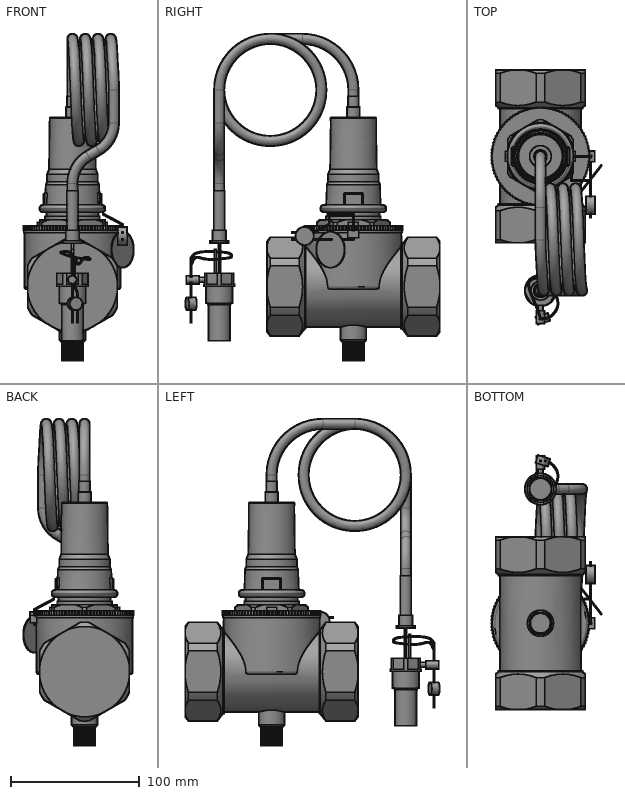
import cadquery as cq
import math


PIPE_RADIUS = 31.5
COLLAR_RADIUS = 32.9
COLLAR_START = 37.0
HEX_START = 38.0
HEX_END = 67.2
HEX_FLATS = 69.8
HEX_CORNER_RADIUS = 38.5
END_FACE_RADIUS = 35.1
OUTER_CHAMFER = 2.5
INNER_CHAMFER = 4.3
CHAMBER_RADIUS = 37.5
CHAMBER_BOTTOM = -2.0
CHAMBER_BOTTOM_FILLET = 1.8
NECK_RING_RADIUS = 38.0
NECK_RING_BOTTOM = 41.8
FLANGE_RADIUS = 38.5
FLANGE_BOTTOM = 43.8
FLANGE_TOP = 47.5
FLANGE_TEETH = 90
FLANGE_TOOTH_DEPTH = 1.0
BOSS_RADIUS = 10.2
BOSS_BOTTOM = -43.0
BOSS_CHAMFER = 1.5
CAP_RADIUS = 8.5
CAP_BOTTOM = -57.8
CAP_TEETH = 40
CAP_TOOTH_DEPTH = 0.8
LUG_REACH = 42.3
LUG_WIDTH = 8.7
LUG_BOTTOM = 38.0
WALL_OVERLAP = 2.5
WIRE_HOLE_RADIUS = 0.8

NUT_FLATS = 51.2
NUT_CORNER_RADIUS = 28.5
NUT_TOP = 52.0
NUT_CHAMFER = 2.0
NUT_TAB_REACH = 27.3
NUT_TAB_WIDTH = 7.6
NUT_TAB_HEIGHT = 2.8
NECK_RADIUS = 21.5
NECK_GROOVE_RADIUS = 20.5
RIM_RADIUS = 25.7
RIM_BOTTOM = 57.8
RIM_TOP = 63.7
RIM_FILLET = 2.8
BARREL_RADIUS = 21.5
BARREL_TOP_RADIUS = 21.0
BARREL_TOP = 79.2
GROOVE_TOP = 81.5
SHOULDER_RADIUS = 19.9
SHOULDER_TOP = 87.4
SPINDLE_BASE_RADIUS = 18.3
SPINDLE_BASE = 91.2
SPINDLE_RADIUS = 17.8
SPINDLE_TOP = 132.0
SPINDLE_CHAMFER = 0.8
PAD_REACH = 22.7
PAD_WIDTH = 15.3
PAD_TOP = 73.0
PAD_FILLET = 1.5
PAD_CHAMFER = 1.3
RECESS_RADIUS = 8.5
RECESS_DEPTH = 3.8
FITTING_RADIUS = 5.0
FITTING_TOP = 140.0
FITTING_CHAMFER = 0.5
SLEEVE_RADIUS = 4.3
UPPER_SLEEVE_TOP = 148.0

TUBE_RADIUS = 4.0
COIL_RADIUS = 39.7
COIL_PITCH = 10.0
COIL_TURNS = 3.25
COIL_POINTS_PER_TURN = 12
COIL_Y = -64.7
COIL_Z = 153.0
JOG_TOP = 127.5
JOG_RADIUS = 24.7
JOG_ANGLE = 60.0
LOWER_SLEEVE_TOP = 74.5
FERRULE_RADIUS = 5.3
FERRULE_TOP = 44.0
WASHER_RADIUS = 7.5
WASHER_TOP = 35.7
WASHER_BOTTOM = 34.0
ROD_RADIUS = 0.9
ROD_Y_OFFSET = 0.3

POCKET_Y = COIL_Y - COIL_RADIUS
HEAD_FLATS = 22.7
HEAD_CORNER_RADIUS = 12.2
HEAD_TOP = 10.5
HEAD_BOTTOM = 2.0
HEAD_FLANGE_BOTTOM = 0.3
SOCKET_RADIUS = 10.5
SOCKET_BOTTOM = -12.7
SOCKET_STEP_RADIUS = 9.0
SOCKET_STEP_BOTTOM = -14.3
STEM_RADIUS = 8.5
STEM_BOTTOM = -42.3
STUB_ROD_Y = POCKET_Y - 3.0
STUB_ROD_TOP = 29.0
SCREW_Z = 5.3
SCREW_SHANK_RADIUS = 2.0
SCREW_HEAD_RADIUS = 3.3
SCREW_HEAD_START = -120.0
SCREW_HEAD_END = -130.2
SCREW_HOLE_WIDTH = 1.8
SCREW_HOLE_LENGTH = 3.3

WIRE_RADIUS = 0.5
HEAD_WIRE_X = 39.0
HEAD_SEAL_RADIUS = 7.1
HEAD_SEAL_THICKNESS = 7.1
HEAD_SEAL_Y = -38.0
HEAD_SEAL_Z = 39.5
HEAD_WIRE_SPACING = 5.3
HEAD_WIRE_TAIL_Y = -48.0
LOOP_INNER_X = 24.2
LOOP_INNER_Z = 56.3
LOOP_OUTER_Z = 48.5
LOOP_Y = -18.8
TAG_RADIUS = 14.0
TAG_THICKNESS = 0.8
TAG_Y = -17.8
TAG_Z = 28.8
TAG_ANGLE = 52.0

POCKET_SEAL_RADIUS = 5.0
POCKET_SEAL_THICKNESS = 6.4
POCKET_SEAL_Z = -13.2
POCKET_SEAL_TURN = 17.5
POCKET_WIRE_Y = -126.3
POCKET_TAIL_SPACING = 3.8
POCKET_TAIL_BOTTOM = -28.3
THREADED_SPACING = 1.5


def cylinder(radius, bottom, top, x=0, y=0):
    """Upright cylinder between two heights."""
    return cq.Workplane("XY", origin=(x, y, bottom)).circle(radius).extrude(top - bottom)


def turned(profile):
    """Solid of revolution about Z from (radius, height) points."""
    outline = [(0, profile[0][1]), *profile, (0, profile[-1][1])]
    return cq.Workplane("XZ").polyline(outline).close().revolve(360, (0, 0), (0, 1))


def hexagon_size(flats):
    """Corner-to-corner size of a hexagon with the given width across flats."""
    return flats / math.cos(math.pi / 6)


def toothed_disc(radius, depth, teeth, bottom, top):
    """Upright disc whose rim is cut into pointed teeth."""
    points = []
    for i in range(2 * teeth):
        reach = radius - depth * (i % 2)
        angle = math.pi * i / teeth
        points.append((reach * math.cos(angle), reach * math.sin(angle)))
    return cq.Workplane("XY", origin=(0, 0, bottom)).polyline(points).close().extrude(top - bottom)


def rod_along(edges, radius, transition="right"):
    """Round rod swept along connected edges."""
    path = cq.Wire.assembleEdges(edges)
    start = cq.Plane(origin=edges[0].startPoint(), normal=edges[0].tangentAt(0))
    return cq.Workplane(start).circle(radius).sweep(cq.Workplane(path), transition=transition)


def line(start, end):
    return cq.Edge.makeLine(cq.Vector(*start), cq.Vector(*end))


def curve(points, start_direction, end_direction):
    directions = [cq.Vector(*start_direction), cq.Vector(*end_direction)]
    return cq.Edge.makeSpline([cq.Vector(*p) for p in points], tangents=directions)


def pipe_end():
    """Hexagon at the +Y end of the pipe, with turned-down corners and a collar."""
    length = HEX_END - HEX_START
    prism = (
        cq.Workplane("XZ", origin=(0, HEX_END, 0))
        .polygon(6, hexagon_size(HEX_FLATS))
        .extrude(length)
        .rotate((0, 0, 0), (0, 1, 0), 30)
    )
    envelope = turned(
        [
            (COLLAR_RADIUS, HEX_START),
            (HEX_CORNER_RADIUS, HEX_START + INNER_CHAMFER),
            (HEX_CORNER_RADIUS, HEX_END - OUTER_CHAMFER),
            (END_FACE_RADIUS, HEX_END),
        ]
    ).rotate((0, 0, 0), (1, 0, 0), -90)
    collar = cq.Workplane("XZ", origin=(0, HEX_START, 0)).circle(COLLAR_RADIUS)
    return prism.intersect(envelope).union(collar.extrude(HEX_START - COLLAR_START))


def seal_lug():
    """Drilled lug that holds the wire of the head seal."""
    inside_wall = CHAMBER_RADIUS - WALL_OVERLAP
    return (
        cq.Workplane("XY", origin=(inside_wall, 0, LUG_BOTTOM))
        .rect(2 * (LUG_REACH - inside_wall), LUG_WIDTH)
        .extrude(FLANGE_BOTTOM - LUG_BOTTOM)
    )


def make_housing():
    pipe = cq.Workplane("XZ", origin=(0, HEX_START, 0)).circle(PIPE_RADIUS).extrude(2 * HEX_START)
    chamber = cylinder(CHAMBER_RADIUS, CHAMBER_BOTTOM, FLANGE_BOTTOM)
    chamber = chamber.faces("<Z").edges().fillet(CHAMBER_BOTTOM_FILLET)
    boss = cylinder(BOSS_RADIUS, BOSS_BOTTOM, 0).faces("<Z").edges().chamfer(BOSS_CHAMFER)
    end = pipe_end()
    housing = pipe.union(chamber).union(boss).union(end).union(end.mirror("XZ"))
    housing = housing.union(cylinder(NECK_RING_RADIUS, NECK_RING_BOTTOM, FLANGE_BOTTOM))
    housing = housing.union(seal_lug())
    housing = housing.union(
        toothed_disc(FLANGE_RADIUS, FLANGE_TOOTH_DEPTH, FLANGE_TEETH, FLANGE_BOTTOM, FLANGE_TOP)
    )
    housing = housing.union(
        toothed_disc(CAP_RADIUS, CAP_TOOTH_DEPTH, CAP_TEETH, CAP_BOTTOM, BOSS_BOTTOM)
    )
    return housing.cut(cylinder(WIRE_HOLE_RADIUS, LUG_BOTTOM, FLANGE_TOP, x=HEAD_WIRE_X))


def mounting_nut():
    """Hexagon nut with corners along Y and a small tab on each X flat."""
    height = NUT_TOP - FLANGE_TOP
    envelope = cylinder(NUT_CORNER_RADIUS, FLANGE_TOP, NUT_TOP)
    envelope = envelope.faces(">Z").edges().chamfer(NUT_CHAMFER)
    nut = (
        cq.Workplane("XY", origin=(0, 0, FLANGE_TOP))
        .polygon(6, hexagon_size(NUT_FLATS))
        .extrude(height)
        .rotate((0, 0, 0), (0, 0, 1), 30)
        .intersect(envelope)
    )
    tabs = (
        cq.Workplane("XY", origin=(0, 0, FLANGE_TOP))
        .rect(2 * NUT_TAB_REACH, NUT_TAB_WIDTH)
        .extrude(NUT_TAB_HEIGHT)
    )
    return nut.union(tabs)


def thermostat_head():
    mid_neck = (NUT_TOP + RIM_BOTTOM) / 2
    head = turned(
        [
            (NECK_RADIUS, NUT_TOP),
            (NECK_RADIUS, mid_neck),
            (NECK_GROOVE_RADIUS, mid_neck),
            (NECK_GROOVE_RADIUS, RIM_BOTTOM),
            (BARREL_RADIUS, RIM_TOP),
            (BARREL_TOP_RADIUS, BARREL_TOP),
            (SHOULDER_RADIUS, GROOVE_TOP),
            (SHOULDER_RADIUS, SHOULDER_TOP),
            (SPINDLE_BASE_RADIUS, SPINDLE_BASE),
            (SPINDLE_RADIUS, SPINDLE_TOP),
        ]
    )
    head = head.faces(">Z").edges().chamfer(SPINDLE_CHAMFER)
    rim = cylinder(RIM_RADIUS, RIM_BOTTOM, RIM_TOP).edges().fillet(RIM_FILLET)
    pads = (
        cq.Workplane("YZ", origin=(-PAD_REACH, 0, 0))
        .center(0, (RIM_BOTTOM + PAD_TOP) / 2)
        .rect(PAD_WIDTH, PAD_TOP - RIM_BOTTOM)
        .extrude(2 * PAD_REACH)
        .edges("|X and >Z")
        .fillet(PAD_FILLET)
        .faces("<X or >X")
        .chamfer(PAD_CHAMFER)
    )
    recess = cylinder(RECESS_RADIUS, SPINDLE_TOP - RECESS_DEPTH, SPINDLE_TOP)
    fitting = cylinder(FITTING_RADIUS, SPINDLE_TOP - RECESS_DEPTH, FITTING_TOP)
    fitting = fitting.faces(">Z").edges().chamfer(FITTING_CHAMFER)
    sleeve = cylinder(SLEEVE_RADIUS, FITTING_TOP, UPPER_SLEEVE_TOP)
    return head.union(rim).union(pads).cut(recess).union(fitting).union(sleeve).union(mounting_nut())


def coil_edge():
    """Helix about the X direction, from the top of the coil to its -Y side."""
    steps = round(COIL_TURNS * COIL_POINTS_PER_TURN)
    turns = [i / COIL_POINTS_PER_TURN for i in range(steps + 1)]
    points = []
    for turn in turns:
        angle = 2 * math.pi * turn
        y = COIL_Y - COIL_RADIUS * math.sin(angle)
        z = COIL_Z + COIL_RADIUS * math.cos(angle)
        points.append(cq.Vector(COIL_PITCH * turn, y, z))
    length_per_turn = 2 * math.pi * COIL_RADIUS
    ends = [cq.Vector(0, -length_per_turn, 0), cq.Vector(0, 0, -length_per_turn)]
    return cq.Edge.makeSpline(points, tangents=ends, parameters=turns, scale=False)


def capillary_tube():
    """Tube that rises from the head, bends over, coils and jogs back to X = 0."""
    top = COIL_Z + COIL_RADIUS
    side = COIL_PITCH * COIL_TURNS
    slope = math.radians(JOG_ANGLE)
    bend_x = JOG_RADIUS * (1 - math.cos(slope))
    bend_z = JOG_RADIUS * math.sin(slope)
    slant_z = (side - 2 * bend_x) / math.tan(slope)
    slant_start = cq.Vector(side - bend_x, POCKET_Y, JOG_TOP - bend_z)
    slant_end = cq.Vector(bend_x, POCKET_Y, JOG_TOP - bend_z - slant_z)
    jog_top = cq.Vector(side, POCKET_Y, JOG_TOP)
    jog_bottom = cq.Vector(0, POCKET_Y, JOG_TOP - 2 * bend_z - slant_z)
    slant = cq.Vector(-math.sin(slope), 0, -math.cos(slope))
    bend_start = cq.Vector(0, 0, COIL_Z)
    bend_end = cq.Vector(0, -COIL_RADIUS, top)
    edges = [
        line((0, 0, FITTING_TOP), (0, 0, COIL_Z)),
        cq.Edge.makeTangentArc(bend_start, cq.Vector(0, 0, 1), bend_end),
        line((0, -COIL_RADIUS, top), (0, COIL_Y, top)),
        coil_edge(),
        line((side, POCKET_Y, COIL_Z), (side, POCKET_Y, JOG_TOP)),
        cq.Edge.makeTangentArc(jog_top, cq.Vector(0, 0, -1), slant_start),
        cq.Edge.makeLine(slant_start, slant_end),
        cq.Edge.makeTangentArc(slant_end, slant, jog_bottom),
        cq.Edge.makeLine(jog_bottom, cq.Vector(0, POCKET_Y, FERRULE_TOP)),
    ]
    return rod_along(edges, TUBE_RADIUS)


def tube_end():
    """Sleeve, ferrule, washer and sensor rod below the capillary tube."""
    end = cylinder(SLEEVE_RADIUS, FERRULE_TOP, LOWER_SLEEVE_TOP, y=POCKET_Y)
    end = end.union(cylinder(FERRULE_RADIUS, WASHER_TOP, FERRULE_TOP, y=POCKET_Y))
    end = end.union(cylinder(WASHER_RADIUS, WASHER_BOTTOM, WASHER_TOP, y=POCKET_Y))
    return end.union(cylinder(ROD_RADIUS, HEAD_TOP, WASHER_BOTTOM, y=POCKET_Y + ROD_Y_OFFSET))


def make_thermostat():
    return thermostat_head().union(capillary_tube()).union(tube_end())


def locking_screw():
    """Side screw with a slot-shaped hole for the seal wire."""
    shank = (
        cq.Workplane("XZ", origin=(0, POCKET_Y, SCREW_Z))
        .circle(SCREW_SHANK_RADIUS)
        .extrude(POCKET_Y - SCREW_HEAD_START)
    )
    head = (
        cq.Workplane("XZ", origin=(0, SCREW_HEAD_START, SCREW_Z))
        .circle(SCREW_HEAD_RADIUS)
        .extrude(SCREW_HEAD_START - SCREW_HEAD_END)
    )
    hole = (
        cq.Workplane("XY", origin=(THREADED_SPACING / 2, POCKET_WIRE_Y, SCREW_Z))
        .slot2D(SCREW_HOLE_LENGTH, SCREW_HOLE_WIDTH)
        .extrude(SCREW_HEAD_RADIUS, both=True)
    )
    return shank.union(head).cut(hole)


def make_pocket():
    body = turned(
        [
            (STEM_RADIUS, STEM_BOTTOM),
            (STEM_RADIUS, SOCKET_STEP_BOTTOM),
            (SOCKET_STEP_RADIUS, SOCKET_STEP_BOTTOM),
            (SOCKET_STEP_RADIUS, SOCKET_BOTTOM),
            (SOCKET_RADIUS, SOCKET_BOTTOM),
            (SOCKET_RADIUS, HEAD_FLANGE_BOTTOM),
            (HEAD_CORNER_RADIUS, HEAD_FLANGE_BOTTOM),
            (HEAD_CORNER_RADIUS, HEAD_BOTTOM),
        ]
    ).translate((0, POCKET_Y, 0))
    head = (
        cq.Workplane("XY", origin=(0, POCKET_Y, HEAD_BOTTOM))
        .polygon(6, hexagon_size(HEAD_FLATS))
        .extrude(HEAD_TOP - HEAD_BOTTOM)
        .intersect(cylinder(HEAD_CORNER_RADIUS, HEAD_BOTTOM, HEAD_TOP, y=POCKET_Y))
    )
    stub_rod = cylinder(ROD_RADIUS, HEAD_TOP, STUB_ROD_TOP, y=STUB_ROD_Y)
    return body.union(head).union(stub_rod).union(locking_screw())


def make_head_seal():
    """Seal disc, its wire loop through the lug and round the neck, and the tag on the wire."""
    upper_z = HEAD_SEAL_Z + HEAD_WIRE_SPACING / 2
    lower_z = HEAD_SEAL_Z - HEAD_WIRE_SPACING / 2
    x = HEAD_WIRE_X
    corners = [
        (x, HEAD_WIRE_TAIL_Y, upper_z),
        (x, HEAD_SEAL_Y + HEAD_SEAL_RADIUS, upper_z),
        (x, LOOP_Y, LOOP_OUTER_Z),
        (LOOP_INNER_X, LOOP_Y, LOOP_INNER_Z),
        (LOOP_INNER_X, 0, LOOP_INNER_Z),
        (x, 0, LOOP_OUTER_Z),
        (x, 0, lower_z),
        (x, HEAD_WIRE_TAIL_Y, lower_z),
    ]
    wire = rod_along([line(a, b) for a, b in zip(corners, corners[1:])], WIRE_RADIUS, "round")
    disc = (
        cq.Workplane("YZ", origin=(x, HEAD_SEAL_Y, HEAD_SEAL_Z))
        .circle(HEAD_SEAL_RADIUS)
        .extrude(HEAD_SEAL_THICKNESS / 2, both=True)
    )
    tag = (
        cq.Workplane("XZ")
        .circle(TAG_RADIUS)
        .extrude(TAG_THICKNESS / 2, both=True)
        .rotate((0, 0, 0), (0, 0, 1), TAG_ANGLE)
        .translate((x, TAG_Y, TAG_Z))
    )
    return disc.union(wire).union(tag)


def make_pocket_seal():
    """Seal disc and its wire, threaded through the locking screw and looped over the pocket."""
    y = POCKET_WIRE_Y
    up = (0, 0, 1)
    down = (0, 0, -1)
    loop_start = (0, y, 19.4)
    loop_end = (THREADED_SPACING, y, 10.7)
    loop = [
        loop_start,
        (-2.0, -119.7, 26.7),
        (-8.2, -104.5, 27.0),
        (-8.7, -97.5, 26.2),
        (0, -95.0, 23.2),
        (7.1, -100.5, 22.0),
        (13.2, -117.2, 22.0),
        (8.2, -124.3, 21.5),
        (3.8, y, 17.8),
        loop_end,
    ]
    spread_start = (THREADED_SPACING, y, 2.0)
    spread_end = (POCKET_TAIL_SPACING, y, -5.9)
    wire = rod_along(
        [
            line((0, y, POCKET_TAIL_BOTTOM), loop_start),
            curve(loop, up, down),
            line(loop_end, spread_start),
            curve([spread_start, spread_end], down, down),
            line(spread_end, (POCKET_TAIL_SPACING, y, POCKET_TAIL_BOTTOM)),
        ],
        WIRE_RADIUS,
    )
    disc = (
        cq.Workplane("XZ")
        .circle(POCKET_SEAL_RADIUS)
        .extrude(POCKET_SEAL_THICKNESS / 2, both=True)
        .rotate((0, 0, 0), (0, 0, 1), POCKET_SEAL_TURN)
        .translate((POCKET_TAIL_SPACING / 2, y, POCKET_SEAL_Z))
    )
    return disc.union(wire)


housing = make_housing()
thermostat = make_thermostat()
pocket = make_pocket()
head_seal = make_head_seal()
pocket_seal = make_pocket_seal()

result = cq.Compound.makeCompound(
    [housing.val(), thermostat.val(), pocket.val(), head_seal.val(), pocket_seal.val()]
)